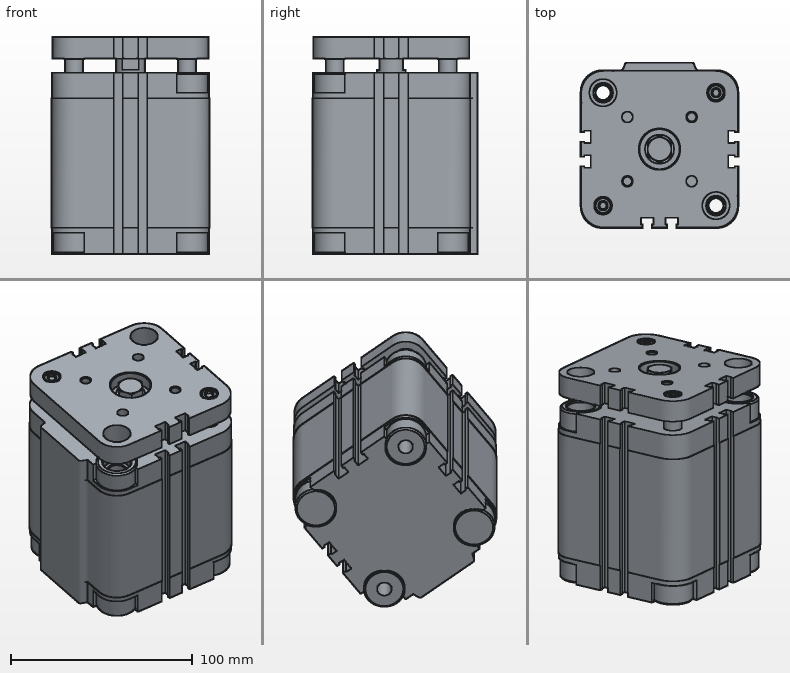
import cadquery as cq
import math

total_height = 119.5
plate_thickness = 12.0
plate_gap = 7.8
plate_bottom = total_height - plate_thickness
housing_height = plate_bottom - plate_gap

housing_side = 87.0
housing_corner_radius = 12.3
total_depth = 91.0
plate_side = 86.0
plate_corner_radius = 12.0
corner_offset = 31.1

cap_inset = 0.2
bottom_cap_height = 14.5
top_cap_height = 14.1

slot_pitch = 13.5
slot_opening = 5.1
slot_width = 6.7
slot_depth = 5.6
slot_lip = 2.2

ridge_height = total_depth - housing_side
ridge_base_width = 40.6
ridge_top_width = 37.5
ridge_edge_radius = 1.2
ridge_foot_radius = 1.4

recess_length = 17.9
column_radius = 11.4
recess_chamfer = 1.0
top_recess_height = 11.1
bottom_recess_height = 11.6

mount_hole_diameter = 8.0
mount_thread_diameter = 10.0
mount_thread_depth = 14.3
mount_thread_chamfer = 0.5
screw_head_diameter = 15.0
screw_head_depth = 6.0
screw_head_chamfer = 0.7

pattern_offset = 17.7
pin_hole_diameter = 6.0
thread_hole_diameter = 4.9
thread_chamfer = (pin_hole_diameter - thread_hole_diameter) / 2
centre_bore_diameter = 23.0
centre_bore_depth = 7.4
centre_bore_chamfer = 0.5

rod_diameter = 10.0
rod_collar_diameter = 11.0
rod_collar_height = 0.5
rod_insertion = 23.9
screw_recess_diameter = 9.0
screw_recess_depth = 1.1
screw_recess_chamfer = 0.5
screw_socket_flats = 3.7
screw_socket_rim_diameter = 5.3
screw_socket_depth = 1.0
screw_end_height = 0.5

piston_rod_diameter = 16.0
wrench_flats = 13.0
flats_clearance = 1.5
washer_diameter = 16.0
washer_thickness = 1.5
bolt_head_flats = 13.0
bolt_head_height = 5.3

mount_points = [(-corner_offset, corner_offset), (corner_offset, -corner_offset)]
rod_points = [(corner_offset, corner_offset), (-corner_offset, -corner_offset)]


def cylinder(diameter, bottom, top, points=((0, 0),)):
    """Upright cylinders between two heights."""
    return (
        cq.Workplane("XY").workplane(offset=bottom)
        .pushPoints(list(points)).circle(diameter / 2).extrude(top - bottom)
    )


def chamfer_cone(hole_diameter, chamfer, top, points):
    """Cones that cut a 45 degree chamfer around holes opening at the height `top`."""
    outer_radius = hole_diameter / 2 + chamfer
    cone = cq.Solid.makeCone(outer_radius - chamfer, outer_radius, chamfer)
    cones = [cone.moved(cq.Location(cq.Vector(x, y, top - chamfer))) for x, y in points]
    return cq.Workplane("XY").newObject(cones).combine()


def rounded_block(side, corner_radius, bottom, top):
    """Square block with rounded upright edges."""
    return (
        cq.Workplane("XY").workplane(offset=bottom)
        .rect(side, side).extrude(top - bottom)
        .edges("|Z").fillet(corner_radius)
    )


def slot_cutters():
    """Pairs of T-slots on the -Y, -X and +X sides, over the full height."""
    upright_box = (True, False, False)
    opening = cq.Workplane("XY").box(slot_opening, slot_depth, total_height, centered=upright_box)
    undercut = cq.Workplane("XY").box(
        slot_width, slot_depth - slot_lip, total_height, centered=upright_box
    )
    slot = opening.union(undercut.translate((0, slot_lip, 0)))
    cutters = cq.Workplane("XY")
    for position in (-slot_pitch / 2, slot_pitch / 2):
        placed = slot.translate((position, -housing_side / 2, 0))
        for angle in (-90, 0, 90):
            cutters = cutters.union(placed.rotate((0, 0, 0), (0, 0, 1), angle))
    return cutters


def port_ridge(bottom, top):
    """Trapezoidal ridge on the +Y face, rooted inside the housing."""
    face = housing_side / 2
    root = face - ridge_height
    crest = face + ridge_height
    return (
        cq.Workplane("XY").workplane(offset=bottom)
        .moveTo(-ridge_base_width / 2, root)
        .lineTo(-ridge_base_width / 2, face)
        .lineTo(-ridge_top_width / 2, crest)
        .lineTo(ridge_top_width / 2, crest)
        .lineTo(ridge_base_width / 2, face)
        .lineTo(ridge_base_width / 2, root)
        .close().extrude(top - bottom)
        .edges("|Z and >Y").fillet(ridge_edge_radius)
    )


def barrel():
    """Middle of the housing, with the ridge blended into its face."""
    bottom = bottom_cap_height
    top = housing_height - top_cap_height
    face = housing_side / 2
    ridge_feet = cq.selectors.BoxSelector(
        (-ridge_base_width, face - ridge_foot_radius, bottom),
        (ridge_base_width, face + ridge_foot_radius, top),
    )
    return (
        rounded_block(housing_side, housing_corner_radius, bottom, top)
        .union(port_ridge(bottom, top))
        .edges("|Z").edges(ridge_feet).fillet(ridge_foot_radius)
    )


def corner_recess(height):
    """Cutter for the (+X, +Y) corner that leaves a round column, chamfered at its lower end Z = 0."""
    inner = housing_side / 2 - recess_length
    block = cq.Workplane("XY").box(recess_length, recess_length, height, centered=False)
    column = cylinder(2 * column_radius, 0, height).faces("<Z").chamfer(recess_chamfer)
    inside = cq.Workplane("XY").rect(2 * corner_offset, 2 * corner_offset).extrude(height)
    chamfer_groove = cylinder(2 * column_radius, 0, recess_chamfer).cut(column)
    corner = (corner_offset, corner_offset, 0)
    return (
        block.translate((inner, inner, 0)).cut(column.translate(corner)).cut(inside)
        .union(chamfer_groove.translate(corner))
    )


def make_housing():
    cap_side = housing_side - 2 * cap_inset
    cap_corner_radius = housing_corner_radius - cap_inset
    body = rounded_block(cap_side, cap_corner_radius, 0, housing_height)
    body = body.union(port_ridge(0, housing_height)).union(barrel())
    body = body.cut(slot_cutters())

    bottom_recess = corner_recess(bottom_recess_height)
    for angle in (0, 90, 180, 270):
        body = body.cut(bottom_recess.rotate((0, 0, 0), (0, 0, 1), angle))
    top_recess = (
        corner_recess(top_recess_height).mirror("XY").translate((0, 0, housing_height))
    )
    for angle in (90, 270):
        body = body.cut(top_recess.rotate((0, 0, 0), (0, 0, 1), angle))

    body = body.cut(cylinder(mount_hole_diameter, 0, housing_height, mount_points))
    head_floor = housing_height - screw_head_depth
    body = body.cut(cylinder(screw_head_diameter, head_floor, housing_height, mount_points))
    body = body.cut(chamfer_cone(screw_head_diameter, screw_head_chamfer, housing_height, mount_points))
    thread_end = head_floor - mount_thread_depth
    body = body.cut(cylinder(mount_thread_diameter, thread_end, head_floor, mount_points))
    body = body.cut(chamfer_cone(mount_thread_diameter, mount_thread_chamfer, head_floor, mount_points))

    rod_end = housing_height - rod_insertion
    body = body.cut(cylinder(rod_diameter, rod_end, housing_height, rod_points))
    return body.cut(cylinder(piston_rod_diameter, rod_end, housing_height))


def piston_rod():
    """Round rod whose upper end has two flats facing -Y and +Y."""
    flats_bottom = housing_height + flats_clearance
    round_part = cylinder(piston_rod_diameter, housing_height - rod_insertion, plate_bottom)
    flat_part = cq.Workplane("XY").workplane(offset=flats_bottom).rect(
        piston_rod_diameter, piston_rod_diameter
    ).rect(piston_rod_diameter, wrench_flats).extrude(plate_bottom - flats_bottom)
    return round_part.cut(flat_part)


def bolt_head():
    """Washer and hexagon head on the floor of the centre bore, the top edge turned round."""
    floor = total_height - centre_bore_depth
    head_bottom = floor + washer_thickness
    washer = cylinder(washer_diameter, floor, head_bottom)
    across_corners = bolt_head_flats / math.cos(math.pi / 6)
    hexagon = (
        cq.Workplane("XY").workplane(offset=head_bottom)
        .polygon(6, across_corners).extrude(bolt_head_height)
        .rotate((0, 0, 0), (0, 0, 1), 30)
    )
    corner_chamfer = (across_corners - bolt_head_flats) / 2
    turned = cylinder(across_corners, head_bottom, head_bottom + bolt_head_height)
    turned = turned.faces(">Z").chamfer(corner_chamfer / 2, corner_chamfer)
    return washer.union(hexagon.intersect(turned))


def screw_end():
    """Tapered end of a guide rod screw, standing on Z = 0."""
    radius = screw_recess_diameter / 2
    return cq.Workplane("XY").newObject(
        [cq.Solid.makeCone(radius, radius - screw_end_height, screw_end_height)]
    )


def make_piston():
    body = rounded_block(plate_side, plate_corner_radius, plate_bottom, total_height)
    body = body.cut(slot_cutters())
    body = body.cut(cylinder(screw_head_diameter, plate_bottom, total_height, mount_points))

    pin_points = [(-pattern_offset, pattern_offset), (pattern_offset, -pattern_offset)]
    thread_points = [(pattern_offset, pattern_offset), (-pattern_offset, -pattern_offset)]
    body = body.cut(cylinder(pin_hole_diameter, plate_bottom, total_height, pin_points))
    body = body.cut(cylinder(thread_hole_diameter, plate_bottom, total_height, thread_points))
    body = body.cut(chamfer_cone(thread_hole_diameter, thread_chamfer, total_height, thread_points))

    floor = total_height - centre_bore_depth
    bore_diameter = centre_bore_diameter - 2 * centre_bore_chamfer
    body = body.cut(cylinder(bore_diameter, floor, total_height))
    body = body.cut(chamfer_cone(bore_diameter, centre_bore_chamfer, total_height, [(0, 0)]))
    body = body.union(bolt_head())

    rods = cylinder(rod_diameter, housing_height - rod_insertion, plate_bottom, rod_points)
    collars = cylinder(rod_collar_diameter, plate_bottom - rod_collar_height, plate_bottom, rod_points)
    body = body.union(rods).union(collars).union(piston_rod())

    recess_floor = total_height - screw_recess_depth
    body = body.cut(cylinder(screw_recess_diameter, recess_floor, total_height, rod_points))
    body = body.cut(chamfer_cone(screw_recess_diameter, screw_recess_chamfer, total_height, rod_points))
    for x, y in rod_points:
        body = body.union(screw_end().translate((x, y, recess_floor)))

    socket_rim = recess_floor + screw_end_height
    sockets = (
        cq.Workplane("XY").workplane(offset=socket_rim - screw_socket_depth)
        .pushPoints(rod_points).polygon(6, screw_socket_flats / math.cos(math.pi / 6))
        .extrude(screw_socket_depth)
    )
    rim_chamfer = (screw_socket_rim_diameter - screw_socket_flats) / 2
    body = body.cut(chamfer_cone(screw_socket_flats, rim_chamfer, socket_rim, rod_points))
    return body.cut(sockets)


housing = make_housing()
piston = make_piston()
result = cq.Compound.makeCompound([housing.val(), piston.val()])